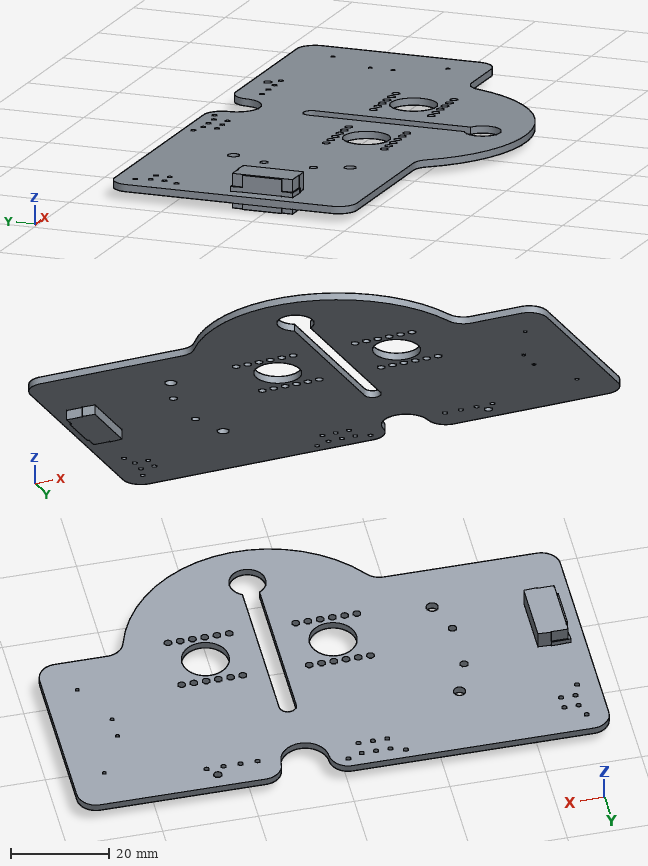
import cadquery as cq


board_thickness = 1.5
lobe_radius = 30.0
left_edge = -63.4
right_edge = 47.7
back_edge = 36.8
left_front_edge = -16.1
right_front_edge = -5.7
corner_radius = 4.0
notch_radius = 5.0
notch_centre_depth = 3.8

slot_width = 3.5
slot_back_end = 18.4
keyhole_diameter = 7.5
keyhole_y = -20.7

sensor_opening_diameter = 9.8
sensor_offset_x = 13.3
sensor_y = -0.4
sensor_pin_diameter = 1.5
sensor_pin_pitch = 2.5
sensor_pins_per_row = 6
sensor_row_spacing = 12.7

socket_hole_diameter = 1.0
socket_pitch = 3.0
socket_locating_offset = 1.0
back_socket_x = -14.7
back_socket_row_y = back_edge - 3.2
left_socket_row_x = left_edge + 5.5
left_socket_y = back_edge - 8.8

header_hole_diameter = 1.02
header_pitch = 3.5
header_pins = 4
header_x = 14.9
header_y = back_edge - 5.5
header_key_diameter = 1.7
header_key_x = 18.3
header_key_y = back_edge - 3.4

switch_mount_diameter = 2.4
switch_mount_x = -35.1
switch_mount_y = back_edge - 29.3
switch_mount_spacing = 25.4
switch_pin_diameter = 1.7
switch_pin_x = -37.8
switch_pin_y = back_edge - 29.7
switch_pin_spacing = 10.8

lead_hole_diameter = 0.75
lead_y = back_edge - 21.5
lead_outer_x = right_edge - 6.9
lead_outer_spacing = 25.1
lead_inner_x = right_edge - 11.9
lead_inner_spacing = 5.0

connector_height = 7.3
connector_drop = 2.1
connector_left = left_edge + 3.5
connector_right = left_edge + 9.9
connector_shoulder_x = left_edge + 7.1
connector_y = 4.3
connector_left_width = 13.1
connector_shoulder_width = 13.4
connector_right_width = 13.1
pad_width = 8.5
pad_projection = 0.3
pad_top_step = 0.1
foot_height = 1.0
foot_projection = 0.5
foot_corner_width = 13.5
foot_shoulder_width = 13.8


def centred_row(count, pitch):
    """Positions of evenly spaced items centred on zero."""
    return [(index - (count - 1) / 2) * pitch for index in range(count)]


def box_between(x_min, x_max, y_min, y_max, z_min, z_max):
    size = (x_max - x_min, y_max - y_min, z_max - z_min)
    return cq.Workplane("XY").box(*size, centered=False).translate((x_min, y_min, z_min))


def drill(plate, diameter, points):
    cutter = cq.Workplane("XY").pushPoints(points).circle(diameter / 2).extrude(board_thickness)
    return plate.cut(cutter)


def socket_points(columns):
    """Hole positions of a socket whose first row lies on the local X axis, body toward -Y."""
    pins = [(x, -row * socket_pitch) for x in centred_row(columns, socket_pitch) for row in range(2)]
    locating = [(x, socket_locating_offset) for x in centred_row(2, (columns + 1) * socket_pitch)]
    return pins + locating


def make_blank():
    """Board outline with its rounded corners, round lobe and back notch."""
    left_half = box_between(left_edge, 0, left_front_edge, back_edge, 0, board_thickness)
    right_half = box_between(0, right_edge, right_front_edge, back_edge, 0, board_thickness)
    lobe = cq.Workplane("XY").circle(lobe_radius).extrude(board_thickness)
    notch = (
        cq.Workplane("XY")
        .center(0, back_edge - notch_centre_depth)
        .circle(notch_radius)
        .extrude(board_thickness)
    )
    blank = left_half.union(right_half).union(lobe).clean().cut(notch)
    return blank.edges("|Z").fillet(corner_radius)


def cut_keyhole(plate):
    slot_end_y = slot_back_end - slot_width / 2
    slot = box_between(-slot_width / 2, slot_width / 2, keyhole_y, slot_end_y, 0, board_thickness)
    plate = plate.cut(slot)
    plate = drill(plate, slot_width, [(0, slot_end_y)])
    return drill(plate, keyhole_diameter, [(0, keyhole_y)])


def cut_sensors(plate):
    for sensor_x in (-sensor_offset_x, sensor_offset_x):
        pins = [
            (sensor_x + x, sensor_y + y)
            for x in centred_row(sensor_pins_per_row, sensor_pin_pitch)
            for y in centred_row(2, sensor_row_spacing)
        ]
        plate = drill(plate, sensor_opening_diameter, [(sensor_x, sensor_y)])
        plate = drill(plate, sensor_pin_diameter, pins)
    return plate


def cut_sockets(plate):
    back_socket = [(back_socket_x + x, back_socket_row_y + y) for x, y in socket_points(3)]
    left_socket = [(left_socket_row_x - y, left_socket_y + x) for x, y in socket_points(2)]
    return drill(plate, socket_hole_diameter, back_socket + left_socket)


def cut_header(plate):
    pins = [(header_x + x, header_y) for x in centred_row(header_pins, header_pitch)]
    plate = drill(plate, header_hole_diameter, pins)
    return drill(plate, header_key_diameter, [(header_key_x, header_key_y)])


def cut_switch(plate):
    mounts = [(switch_mount_x, switch_mount_y + y) for y in centred_row(2, switch_mount_spacing)]
    pins = [(switch_pin_x, switch_pin_y + y) for y in centred_row(2, switch_pin_spacing)]
    plate = drill(plate, switch_mount_diameter, mounts)
    return drill(plate, switch_pin_diameter, pins)


def cut_lead_holes(plate):
    outer = [(lead_outer_x, lead_y + y) for y in centred_row(2, lead_outer_spacing)]
    inner = [(lead_inner_x, lead_y + y) for y in centred_row(2, lead_inner_spacing)]
    return drill(plate, lead_hole_diameter, outer + inner)


def make_connector_foot(side):
    """Low wedge at one left corner, flaring from the end of the pad out to a tip at the corner."""
    pad_end_y = connector_y + side * pad_width / 2
    return (
        cq.Workplane("XY")
        .workplane(offset=board_thickness)
        .moveTo(connector_left - pad_projection, pad_end_y)
        .lineTo(connector_left - foot_projection, connector_y + side * foot_corner_width / 2)
        .lineTo(connector_shoulder_x, connector_y + side * foot_shoulder_width / 2)
        .lineTo(connector_shoulder_x, pad_end_y)
        .close()
        .extrude(foot_height)
    )


def make_connector():
    """Block through the board, with a pad on its left face and a foot around each left corner."""
    bottom = -connector_drop
    top = bottom + connector_height
    left_part = box_between(
        connector_left, connector_shoulder_x,
        connector_y - connector_left_width / 2, connector_y + connector_left_width / 2,
        bottom, top,
    )
    tapered_part = (
        cq.Workplane("XY")
        .workplane(offset=bottom)
        .moveTo(connector_shoulder_x, connector_y - connector_shoulder_width / 2)
        .lineTo(connector_right, connector_y - connector_right_width / 2)
        .lineTo(connector_right, connector_y + connector_right_width / 2)
        .lineTo(connector_shoulder_x, connector_y + connector_shoulder_width / 2)
        .close()
        .extrude(connector_height)
    )
    pad = box_between(
        connector_left - pad_projection, connector_left,
        connector_y - pad_width / 2, connector_y + pad_width / 2,
        bottom, top - pad_top_step,
    )
    connector = left_part.union(tapered_part).union(pad)
    for side in (-1, 1):
        connector = connector.union(make_connector_foot(side))
    return connector


def make_board(connector):
    """Drilled board with an opening that matches the connector."""
    board = make_blank()
    board = cut_keyhole(board)
    board = cut_sensors(board)
    board = cut_sockets(board)
    board = cut_header(board)
    board = cut_switch(board)
    board = cut_lead_holes(board)
    return board.cut(connector)


connector = make_connector()
board = make_board(connector)

result = cq.Compound.makeCompound([board.solids().val(), connector.solids().val()])